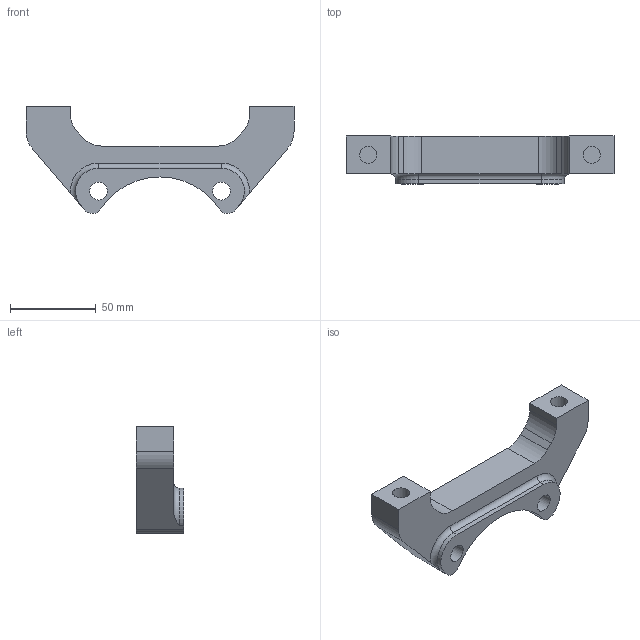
import cadquery as cq
import math

half_width = 78.0
height = 62.3
body_depth = 22.0
total_depth = 27.85
boss_depth = total_depth - body_depth

arm_width = 26.0
notch_depth = 23.0
notch_chamfer = 12.0
bend_radius = 15.0

shoulder_drop = 20.0

lug_hole_x = 35.75
lug_hole_z = -49.25
lug_hole_diameter = 10.4
boss_end_radius = 13.35
boss_root_fillet = 3.0

tip_radius = 6.0
arch_crown_z = -41.0

arm_hole_diameter = 10.0
arm_hole_depth = 20.0
arm_hole_x = half_width - arm_width / 2
arm_hole_y = -body_depth / 2

shoulder_to_hole_x = half_width - lug_hole_x
shoulder_to_hole_z = -shoulder_drop - lug_hole_z
shoulder_to_hole = math.hypot(shoulder_to_hole_x, shoulder_to_hole_z)
sight_angle = math.atan2(shoulder_to_hole_z, shoulder_to_hole_x)
flank_angle = sight_angle + math.asin(boss_end_radius / shoulder_to_hole)
flank_sin = math.sin(flank_angle)
flank_cos = math.cos(flank_angle)

tip_z = tip_radius - height
tip_x = half_width - (tip_radius + (-shoulder_drop - tip_z) * flank_cos) / flank_sin

crown_to_tip = arch_crown_z - tip_z
arch_radius = (tip_x**2 + crown_to_tip**2 - tip_radius**2) / (2 * (crown_to_tip + tip_radius))
arch_z = arch_crown_z - arch_radius
tip_share = tip_radius / (arch_radius + tip_radius)
arch_end_x = tip_x * (1 - tip_share)
arch_end_z = tip_z + (arch_z - tip_z) * tip_share


def flank_touch(center_x, center_z, radius):
    """Point where a circle lying against the right flank touches it."""
    return (center_x + radius * flank_sin, center_z - radius * flank_cos)


def mirrored(point):
    """The same point on the other side of the symmetry plane."""
    return (-point[0], point[1])


def front_plane(y=0.0):
    """XZ sketch plane at the given Y; extrusions go toward -Y."""
    return cq.Workplane("XZ", origin=(0, y, 0))


def make_outline():
    """Full silhouette, extruded through body and boss."""
    inner_x = half_width - arm_width
    shoulder = (half_width, -shoulder_drop)
    tip_start = flank_touch(tip_x, tip_z, tip_radius)
    tip_bottom = (tip_x, -height)
    arch_end = (arch_end_x, arch_end_z)
    profile = (
        front_plane()
        .moveTo(-half_width, 0)
        .lineTo(-inner_x, 0)
        .lineTo(-inner_x, notch_chamfer - notch_depth)
        .lineTo(notch_chamfer - inner_x, -notch_depth)
        .lineTo(inner_x - notch_chamfer, -notch_depth)
        .lineTo(inner_x, notch_chamfer - notch_depth)
        .lineTo(inner_x, 0)
        .lineTo(half_width, 0)
        .lineTo(*shoulder)
        .lineTo(*tip_start)
        .threePointArc(tip_bottom, arch_end)
        .threePointArc((0, arch_crown_z), mirrored(arch_end))
        .threePointArc(mirrored(tip_bottom), mirrored(tip_start))
        .lineTo(*mirrored(shoulder))
        .close()
    )
    prism = profile.extrude(total_depth)
    bends = [
        (x, z)
        for side in (-1, 1)
        for x, z in (
            (side * half_width, -shoulder_drop),
            (side * inner_x, notch_chamfer - notch_depth),
            (side * (inner_x - notch_chamfer), -notch_depth),
        )
    ]
    for x, z in bends:
        corner = cq.selectors.NearestToPointSelector((x, -total_depth / 2, z))
        prism = prism.edges("|Y").edges(corner).fillet(bend_radius)
    return prism


def make_stepped_block():
    """Oversize plate carrying the boss with its root fillet, ready to be cut to the outline."""
    margin = 2 * boss_end_radius
    plate_width = 2 * (half_width + margin)
    plate_height = height + 2 * margin
    plate = (
        front_plane()
        .center(0, -height / 2)
        .rect(plate_width, plate_height)
        .extrude(body_depth)
    )
    boss_top = lug_hole_z + boss_end_radius
    mid_angle = (math.pi - flank_angle) / 2
    end_top = (lug_hole_x, boss_top)
    end_middle = (
        lug_hole_x + boss_end_radius * math.sin(mid_angle),
        lug_hole_z + boss_end_radius * math.cos(mid_angle),
    )
    end_touch = flank_touch(lug_hole_x, lug_hole_z, boss_end_radius)

    foot = (end_touch[0] - margin * flank_cos, end_touch[1] - margin * flank_sin)
    boss = (
        front_plane(-body_depth)
        .moveTo(*mirrored(end_top))
        .lineTo(*end_top)
        .threePointArc(end_middle, end_touch)
        .lineTo(*foot)
        .lineTo(*mirrored(foot))
        .lineTo(*mirrored(end_touch))
        .threePointArc(mirrored(end_middle), mirrored(end_top))
        .close()
        .extrude(boss_depth)
    )

    half_band = boss_root_fillet / 2
    root_zone = cq.selectors.BoxSelector(
        (-half_width, -body_depth - half_band, foot[1] - half_band),
        (half_width, -body_depth + half_band, boss_top + half_band),
    )
    return plate.union(boss).edges(root_zone).fillet(boss_root_fillet)


def make_lug_holes():
    """Cutters for the through holes in the lugs."""
    return (
        front_plane()
        .pushPoints([(-lug_hole_x, lug_hole_z), (lug_hole_x, lug_hole_z)])
        .circle(lug_hole_diameter / 2)
        .extrude(total_depth)
    )


def make_arm_holes():
    """Cutters for the blind holes in the arm tops."""
    return (
        cq.Workplane("XY")
        .pushPoints([(-arm_hole_x, arm_hole_y), (arm_hole_x, arm_hole_y)])
        .circle(arm_hole_diameter / 2)
        .extrude(-arm_hole_depth)
    )


bracket = make_outline().intersect(make_stepped_block())
result = bracket.cut(make_lug_holes()).cut(make_arm_holes())